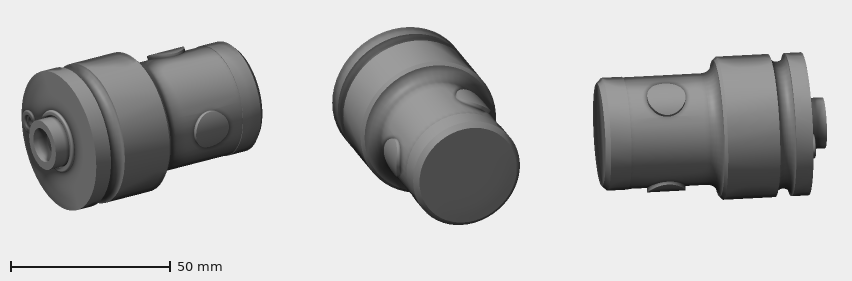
import cadquery as cq
import math


overall_length = 71
nose_length = 6.0
body_length = overall_length - nose_length
flange_radius = 22.5
flange_length = 28.0
flange_chamfer = 1.0
shank_radius = 17.55
shank_fillet = flange_radius - flange_chamfer - shank_radius
collar_radius = 17.75
collar_length = 8.0
collar_chamfer = 1.55
groove_radius = 2.55
groove_y = 7.95

nose_radius = 8.0
bore_radius = 5.5
bore_depth = 5.0

nose_seal_height = 1.3
nose_seal_inner = 8.7
nose_seal_outer = 9.45
port_seal_height = 1.1
port_seal_inner = 2.55
port_seal_outer = 3.35

port_x = -16.8
port_radius = 1.4
port_depth = 1.4

pad_count = 3
pad_radius = 6.0
pad_reach = 18.95
pad_crown_radius = 12.5
pad_to_rear = 20.0
pad_y = body_length - pad_to_rear

plug_count = 4
plug_radius = 3.05
plug_circle_radius = 16.0
plug_depth = 3.55
first_plug_angle = 45


def rod(radius, y_start, y_end, x=0, z=0):
    """Cylinder along Y between two stations."""
    return cq.Workplane("XZ", origin=(x, y_start, z)).circle(radius).extrude(y_start - y_end)


def turned_body():
    """Flange with a round groove, filleted shank and chamfered collar."""
    collar_y = body_length - collar_length
    profile = (
        cq.Workplane("XY")
        .lineTo(flange_radius, 0)
        .lineTo(flange_radius, groove_y - groove_radius)
        .threePointArc((flange_radius - groove_radius, groove_y), (flange_radius, groove_y + groove_radius))
        .lineTo(flange_radius, flange_length - flange_chamfer)
        .lineTo(flange_radius - flange_chamfer, flange_length)
        .radiusArc((shank_radius, flange_length + shank_fillet), shank_fillet)
        .lineTo(shank_radius, collar_y)
        .lineTo(collar_radius, collar_y)
        .lineTo(collar_radius, body_length - collar_chamfer)
        .lineTo(collar_radius - collar_chamfer, body_length)
        .lineTo(0, body_length)
        .close()
    )
    return profile.revolve(360, (0, 0, 0), (0, 1, 0))


def seal_ring(inner, outer, height, x=0):
    """Ring on the flange face, flat between the two radii and half-round on both edges."""
    edge_radius = height / 2
    profile = (
        cq.Workplane("XY", origin=(x, 0, 0))
        .moveTo(inner, 0)
        .lineTo(outer, 0)
        .threePointArc((outer + edge_radius, -edge_radius), (outer, -height))
        .lineTo(inner, -height)
        .threePointArc((inner - edge_radius, -edge_radius), (inner, 0))
        .close()
    )
    return profile.revolve(360, (0, 0, 0), (0, 1, 0))


def locking_pad(angle):
    """Round pad with a cylindrical crown, turned about Y to its place on the shank."""
    post = cq.Workplane("YZ", origin=(0, pad_y, 0)).circle(pad_radius).extrude(pad_reach)
    crown = rod(pad_crown_radius, pad_y - pad_radius, pad_y + pad_radius, x=pad_reach - pad_crown_radius)
    return post.intersect(crown).rotate((0, 0, 0), (0, 1, 0), angle)


result = turned_body().union(rod(nose_radius, 0, -nose_length))

result = result.union(seal_ring(nose_seal_inner, nose_seal_outer, nose_seal_height))
result = result.union(rod(nose_seal_inner, 0, -nose_seal_height / 2))
result = result.union(seal_ring(port_seal_inner, port_seal_outer, port_seal_height, port_x))

result = result.cut(rod(bore_radius, -nose_length, bore_depth - nose_length))
result = result.cut(rod(port_radius, 0, port_depth, x=port_x))

for index in range(pad_count):
    result = result.union(locking_pad(index * 360 / pad_count))

for index in range(plug_count):
    plug_angle = math.radians(first_plug_angle + index * 360 / plug_count)
    plug = rod(
        plug_radius,
        0,
        plug_depth,
        x=plug_circle_radius * math.cos(plug_angle),
        z=plug_circle_radius * math.sin(plug_angle),
    )
    result = result.union(plug, clean=False)